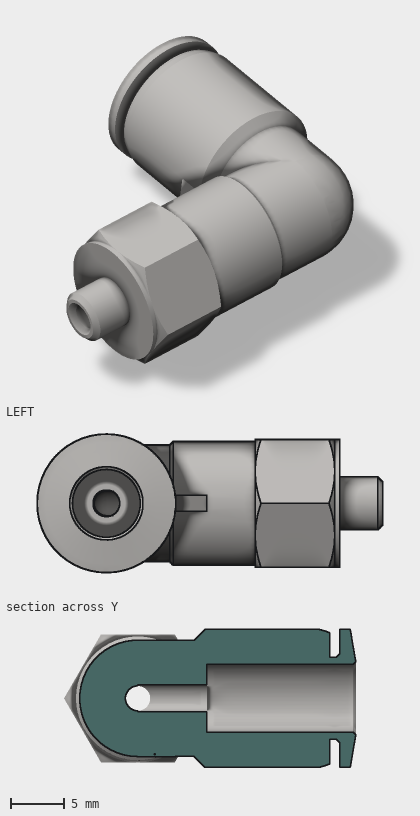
import cadquery as cq
import math

OVERALL_X = 27.35
OVERALL_Y = 32.4
COLLAR_RADIUS = 13.0 / 2

HEX_FLATS = 12.0
HEX_CORNER_RADIUS = HEX_FLATS / math.sqrt(3)
HEX_TOP = 13.93
HEX_LENGTH = 7.45
HEX_CHAMFER_ANGLE = math.radians(30)

TUBE_END = OVERALL_X - HEX_CORNER_RADIUS
STUD_END = OVERALL_Y - COLLAR_RADIUS

ELBOW_RADIUS = 5.48

RING_LENGTH = 1.52
RING_CONE_LENGTH = 0.52
RING_GAP = 0.9
NECK_RADIUS = 7.75 / 2
NECK_FLARE = 0.32
BORE_RADIUS = 6.35 / 2
BORE_CHAMFER = 0.25
BORE_DEPTH = 13.93

COLLAR_RIM_RADIUS = 6.15
COLLAR_STEP_RADIUS = 12.6 / 2
COLLAR_STEP_LENGTH = 0.35
COLLAR_LEAD_IN = 1.05
COLLAR_BACK = 6.3
NECK_OVERLAP = 0.65

SLEEVE_RADIUS = 11.6 / 2
SLEEVE_START = 5.93
SLEEVE_CHAMFER = 0.32
SEAT_THICKNESS = 0.5
STUD_RADIUS = 5.0 / 2
STUD_CHAMFER = 0.5
COUNTERSINK_RADIUS = 1.65

TUBE_PASSAGE_RADIUS = 2.5 / 2
STUD_PASSAGE_RADIUS = 2.3 / 2

WEB_THICKNESS = 1.52
WEB_REACH_X = 8.8
WEB_REACH_Y = 9.4
WEB_INNER = 4.55


def turned_on_x(profile):
    """Revolve (distance from origin, radius) points about the tube arm."""
    points = [(-distance, radius) for distance, radius in profile]
    return cq.Workplane("XY").polyline(points).close().revolve(360, (0, 0, 0), (1, 0, 0))


def turned_on_y(profile):
    """Revolve (distance from origin, radius) points about the stud arm."""
    points = [(radius, -distance) for distance, radius in profile]
    return cq.Workplane("XY").polyline(points).close().revolve(360, (0, 0, 0), (0, 1, 0))


def corner_ball(radius):
    """Quarter ball that rounds the outer (+X, +Y) corner at the origin."""
    return (
        cq.Workplane("XZ")
        .moveTo(0, -radius)
        .threePointArc((radius, 0), (0, radius))
        .close()
        .revolve(90, (0, 0, 0), (0, 1, 0))
    )


def elbow():
    tube_arm = cq.Workplane("YZ").circle(ELBOW_RADIUS).extrude(-COLLAR_BACK)
    stud_arm = cq.Workplane("XZ").circle(ELBOW_RADIUS).extrude(HEX_TOP)
    return tube_arm.union(stud_arm).union(corner_ball(ELBOW_RADIUS))


def collar():
    front = TUBE_END - RING_LENGTH - RING_GAP
    chamfer = COLLAR_RADIUS - ELBOW_RADIUS
    return turned_on_x([
        (front, 0),
        (front, COLLAR_RIM_RADIUS),
        (front - COLLAR_STEP_LENGTH, COLLAR_STEP_RADIUS),
        (front - COLLAR_LEAD_IN, COLLAR_RADIUS),
        (COLLAR_BACK, COLLAR_RADIUS),
        (COLLAR_BACK - chamfer, ELBOW_RADIUS),
        (COLLAR_BACK - chamfer, 0),
    ])


def release_ring():
    back = TUBE_END - RING_LENGTH
    neck_end = back - RING_GAP - NECK_OVERLAP
    return turned_on_x([
        (TUBE_END, 0),
        (TUBE_END, BORE_RADIUS + BORE_CHAMFER),
        (TUBE_END - RING_CONE_LENGTH, COLLAR_RADIUS),
        (back, COLLAR_RADIUS),
        (back, NECK_RADIUS + NECK_FLARE),
        (back - NECK_FLARE, NECK_RADIUS),
        (neck_end, NECK_RADIUS),
        (neck_end, 0),
    ])


def sleeve():
    return turned_on_y([
        (SLEEVE_START, 0),
        (SLEEVE_START, SLEEVE_RADIUS - SLEEVE_CHAMFER),
        (SLEEVE_START + SLEEVE_CHAMFER, SLEEVE_RADIUS),
        (HEX_TOP, SLEEVE_RADIUS),
        (HEX_TOP, 0),
    ])


def hexagon():
    prism = (
        cq.Workplane("XZ", origin=(0, -HEX_TOP, 0))
        .polygon(6, 2 * HEX_CORNER_RADIUS)
        .extrude(HEX_LENGTH)
    )
    face_radius = HEX_FLATS / 2
    bottom = HEX_TOP + HEX_LENGTH
    middle = HEX_TOP + HEX_LENGTH / 2
    peak_radius = face_radius + HEX_LENGTH / 2 / math.tan(HEX_CHAMFER_ANGLE)
    envelope = turned_on_y([
        (HEX_TOP, 0),
        (HEX_TOP, face_radius),
        (middle, peak_radius),
        (bottom, face_radius),
        (bottom, 0),
    ])
    return prism.intersect(envelope)


def seat_and_stud():
    start = HEX_TOP + HEX_LENGTH
    seat_end = start + SEAT_THICKNESS
    return turned_on_y([
        (start, 0),
        (start, HEX_FLATS / 2),
        (seat_end, HEX_FLATS / 2),
        (seat_end, STUD_RADIUS),
        (STUD_END - STUD_CHAMFER, STUD_RADIUS),
        (STUD_END, STUD_RADIUS - STUD_CHAMFER),
        (STUD_END, 0),
    ])


def corner_web():
    return (
        cq.Workplane("XY", origin=(0, 0, -WEB_THICKNESS / 2))
        .polyline([
            (-WEB_REACH_X, -COLLAR_RADIUS),
            (-SLEEVE_RADIUS, -WEB_REACH_Y),
            (-WEB_INNER, -WEB_REACH_Y),
            (-WEB_INNER, -WEB_INNER),
            (-WEB_REACH_X, -WEB_INNER),
        ])
        .close()
        .extrude(WEB_THICKNESS)
    )


def tube_passage():
    bore_end = TUBE_END - BORE_DEPTH
    return turned_on_x([
        (TUBE_END, 0),
        (TUBE_END, BORE_RADIUS + BORE_CHAMFER),
        (TUBE_END - BORE_CHAMFER, BORE_RADIUS),
        (bore_end, BORE_RADIUS),
        (bore_end, TUBE_PASSAGE_RADIUS),
        (0, TUBE_PASSAGE_RADIUS),
        (0, 0),
    ])


def stud_passage():
    countersink_depth = COUNTERSINK_RADIUS - STUD_PASSAGE_RADIUS
    return turned_on_y([
        (STUD_END, 0),
        (STUD_END, COUNTERSINK_RADIUS),
        (STUD_END - countersink_depth, STUD_PASSAGE_RADIUS),
        (0, STUD_PASSAGE_RADIUS),
        (0, 0),
    ])


result = elbow()
for feature in (collar(), release_ring(), sleeve(), hexagon(), seat_and_stud(), corner_web()):
    result = result.union(feature)
for cavity in (tube_passage(), stud_passage(), corner_ball(STUD_PASSAGE_RADIUS)):
    result = result.cut(cavity)